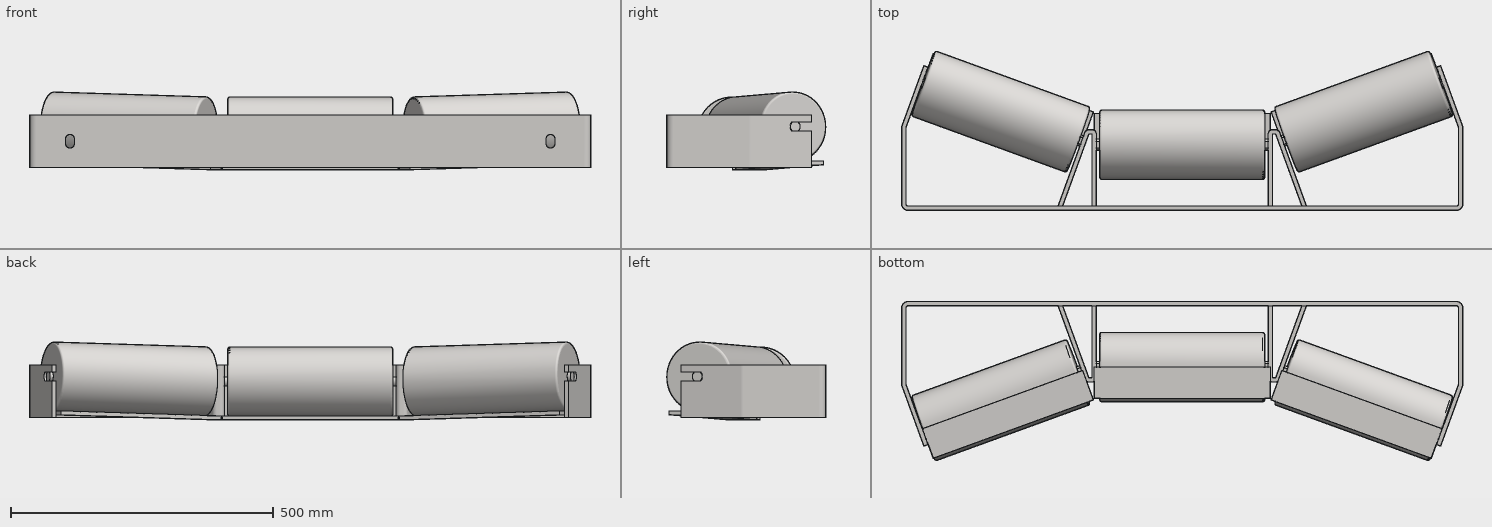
import cadquery as cq
import math

frame_length = 1070.0
strip_height = 101.0
strip_thickness = 9.0
inner_bend_radius = 4.0

arm_bend_y = 159.0
arm_tip_y = 276.0
mounting_slot_x = 458.0
mounting_slot_width = 17.0
mounting_slot_height = 26.0

straight_leg_x = 168.0
bracket_back_y = 154.0
bracket_corner_radius = 9.0

trough_angle = 20.0
rise_angle = 1.7
roller_radius = 66.0
roller_length = 315.0
roller_edge_radius = 4.0
axle_radius = 11.0
axle_flat_height = 17.0
center_roller_y = 125.0
center_roller_z = 68.0
side_roller_x = 346.0
side_roller_y = 188.0

guard_width = 60.0
guard_thickness = 7.0
guard_embed = 1.0

trough = math.radians(trough_angle)
rise = math.radians(rise_angle)
half_frame = frame_length / 2
half_roller = roller_length / 2
outer_bend_radius = inner_bend_radius + strip_thickness
slanted_width = strip_thickness / math.cos(trough)

inner_reach = straight_leg_x
side_roller_z = center_roller_z + inner_reach * math.sin(rise)

outer_reach = (
    (half_frame - side_roller_x) * math.cos(trough)
    - (side_roller_y - arm_bend_y) * math.sin(trough)
    - strip_thickness / 2
)

inner_end_x = side_roller_x - inner_reach * math.cos(trough)
inner_end_y = side_roller_y - inner_reach * math.sin(trough)
slanted_foot_x = inner_end_x + inner_end_y * math.tan(trough)


def mirrored(body):
    return body.mirror("YZ")


def make_axle(left_reach, right_reach):
    """Axle along X through the origin, with flats above and below."""
    length = left_reach + right_reach
    rod = cq.Workplane("YZ", origin=(-left_reach, 0, 0)).circle(axle_radius).extrude(length)
    flats = cq.Workplane("XY").box(4 * length, 4 * axle_radius, axle_flat_height)
    return rod.intersect(flats)


def make_roller(left_reach, left_guard_reach):
    """Roller along X about the origin, with its axle and guard plate."""
    shell = (
        cq.Workplane("YZ", origin=(-half_roller, 0, 0))
        .circle(roller_radius)
        .extrude(roller_length)
        .edges("%CIRCLE")
        .fillet(roller_edge_radius)
    )
    guard = cq.Workplane("XY").box(
        left_guard_reach + inner_reach, guard_width, guard_thickness, centered=False
    ).translate((-left_guard_reach, 0, guard_embed - roller_radius - guard_thickness))
    return shell.union(make_axle(left_reach, inner_reach)).union(guard)


def place_left(body):
    """Move a body from the roller's own axes to the left side roller."""
    return (
        body.rotate((0, 0, 0), (0, 1, 0), rise_angle)
        .rotate((0, 0, 0), (0, 0, 1), -trough_angle)
        .translate((-side_roller_x, side_roller_y, side_roller_z))
    )


center_roller = make_roller(inner_reach, inner_reach).translate((0, center_roller_y, center_roller_z))
left_roller = place_left(make_roller(outer_reach, half_roller))
rollers = [left_roller, center_roller, mirrored(left_roller)]


def make_axle_slot():
    """Cutter for the slot that takes the outer axle end and is open towards the arm tip."""
    channel = cq.Workplane("XY").box(
        2 * strip_thickness, arm_tip_y - arm_bend_y, axle_flat_height, centered=(True, False, True)
    ).translate((-outer_reach, 0, 0))
    return place_left(channel.union(make_axle(outer_reach + strip_thickness, 0)))


def make_frame():
    """Base strip with both ends bent back into arms that lean inwards at the tips."""
    tip_x = half_frame - (arm_tip_y - arm_bend_y) * math.tan(trough)
    tip_inner_x = tip_x - strip_thickness * math.cos(trough)
    tip_inner_y = arm_tip_y - strip_thickness * math.sin(trough)
    inner_x = half_frame - strip_thickness
    inner_bend_y = arm_bend_y - strip_thickness * math.tan(trough / 2)
    half_outline = [
        (half_frame, 0),
        (half_frame, arm_bend_y),
        (tip_x, arm_tip_y),
        (tip_inner_x, tip_inner_y),
        (inner_x, inner_bend_y),
        (inner_x, strip_thickness),
    ]
    outline = half_outline + [(-x, y) for x, y in reversed(half_outline)]
    frame = cq.Workplane("XY").polyline(outline).close().extrude(strip_height)

    bend_radii = [
        (half_frame, 0, outer_bend_radius),
        (inner_x, strip_thickness, inner_bend_radius),
        (half_frame, arm_bend_y, outer_bend_radius),
        (inner_x, inner_bend_y, inner_bend_radius),
    ]
    for x, y, radius in bend_radii:
        for side in (-1, 1):
            corner = cq.selectors.NearestToPointSelector((side * x, y, strip_height / 2))
            frame = frame.edges("|Z").edges(corner).fillet(radius)

    mounting_slots = (
        cq.Workplane("XZ", origin=(0, strip_thickness, strip_height / 2))
        .pushPoints([(-mounting_slot_x, 0), (mounting_slot_x, 0)])
        .slot2D(mounting_slot_height, mounting_slot_width, 90)
        .extrude(strip_thickness)
    )
    axle_slot = make_axle_slot()
    return frame.cut(mounting_slots).cut(axle_slot).cut(mirrored(axle_slot))


frame = make_frame()


def make_left_bracket():
    """Bent strip with a slanted and a straight leg, recessed for the rollers that it carries."""

    def slanted_x(y, offset):
        return -slanted_foot_x + y * math.tan(trough) + offset * slanted_width / 2

    front = strip_thickness
    back = bracket_back_y
    back_inner = bracket_back_y - strip_thickness
    straight_outer = -straight_leg_x + strip_thickness / 2
    straight_inner = straight_outer - strip_thickness
    outline = [
        (slanted_x(front, -1), front),
        (slanted_x(back, -1), back),
        (straight_outer, back),
        (straight_outer, front),
        (straight_inner, front),
        (straight_inner, back_inner),
        (slanted_x(back_inner, 1), back_inner),
        (slanted_x(front, 1), front),
    ]
    bracket = cq.Workplane("XY").polyline(outline).close().extrude(strip_height)
    bracket = bracket.edges("|Z and >Y").fillet(bracket_corner_radius)
    return bracket.cut(left_roller).cut(center_roller)


left_bracket = make_left_bracket()
brackets = [left_bracket, mirrored(left_bracket)]

result = cq.Compound.makeCompound([body.val() for body in [frame, *brackets, *rollers]])